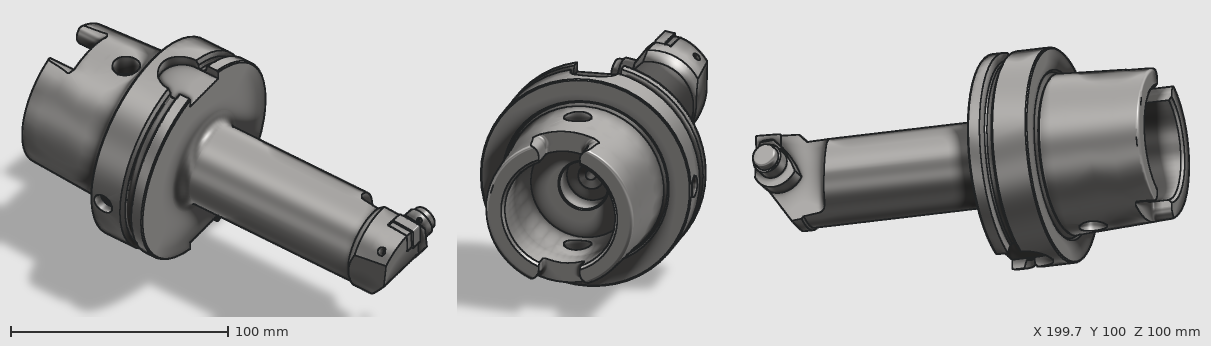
import cadquery as cq
import math


taper_length = 49.5
taper_slope = 0.05
taper_base_radius = 37.48
relief_start = -2.5
relief_rim_x = -1.8
relief_rim_radius = 37.5
relief_floor_x = -0.8
relief_floor_radius = 36.4
relief_end_radius = 38.5
face_recess_radius = 39.5
face_recess_depth = 1.0
taper_end_fillet = 1.5
mouth_chamfer = 1.4

mouth_bore_radius = 26.2
floor_bore_radius = 25.0
bore_cone_x = -29.5
bore_floor_x = -4.0
coolant_bore_radius = 12.0
coolant_bore_chamfer = 0.5
coolant_bore_floor_x = 10.0
drill_point_radius = 6.0
drill_point_angle = 118.0
coolant_channel_radius = 2.4
coolant_channel_offset = 0.5
coolant_channel_end_x = 24.0

keyway_half_width = 9.8
keyway_shoulder_height = 32.2
keyway_shoulder_slope = 23.0
keyway_shoulder_radius = 4.5
keyway_shoulder_run = 6.0
keyway_clearance = 4.0
keyway_end_fillet = 1.8
upper_keyway_length = 14.5
lower_keyway_length = 9.5

cross_hole_x = -14.8
cross_hole_radius = 6.4

flange_radius = 50.0
flange_width = 29.0
flange_chamfer = 0.5
gripper_groove_start = 16.5
gripper_groove_end = 23.0
gripper_wall_x = 18.0
gripper_wall_radius = 47.8
gripper_corner_radius = 0.8
gripper_floor_end = 20.8
gripper_floor_radius = 45.8
gripper_foot_x = 21.8
gripper_foot_radius = 46.4
notch_half_width = 11.2
notch_floor_height = 44.0
notch_round_start = 5.4
chip_hole_x = 7.2
chip_hole_radius = 5.0
chip_hole_depth = 5.0

bar_radius = 20.0
bar_fillet = 5.5
head_start = 123.7
head_cone_end = 128.1
head_cone_radius = 24.2
head_tip_x = 152.0
head_flare = 0.09
head_lower_radius = 21.0
undercut_start_x = 128.7
undercut_angle = 54.0
head_front_x = 145.83
head_front_y = -21.0
head_front_z = 14.8
head_front_slope_y = 0.1
head_front_slope_z = 0.09
outlet_x = 140.7
outlet_angle = 47.0
outlet_radius = 2.0
outlet_floor_radius = 19.0

tip_x = 150.3
tip_y = -0.1
tip_z = 27.0
rake_slope_x = 0.123
rake_slope_z = 0.12
pocket_wall_lean = 21.0
pocket_start_x = 112.0
pocket_fillet = 5.0
pocket_size = 60.0

insert_edge = 12.9
insert_angle = 80.0
lead_angle = 5.0
insert_thickness = 4.8
nose_radius = 0.8
shim_edge = 11.5
shim_thickness = 3.0
seat_gap = 0.2

screw_x = -13.8
screw_y = -19.8
clamp_height = 7.0
clamp_right = 9.2
clamp_tail_left = -11.4
clamp_tail_y = -5.2
clamp_tail_end = -11.5
clamp_bulge_x = -5.5
clamp_bulge_y = 5.2
clamp_nose_left = 4.8
clamp_nose_end = 16.4
clamp_slope_start = 7.4
clamp_slope_end = 14.0
clamp_nose_height = 3.8
clamp_lip_height = 0.5
boss_radius = 7.0
boss_height = 13.5
boss_hole_radius = 1.2
boss_hole_height = 10.0
boss_hole_angle = 64.0
boss_hole_depth = 4.0
screw_radius = 5.9
screw_top_height = 17.5
screw_fillet = 1.4

rake_plane = cq.Plane(
    origin=(tip_x, tip_y, tip_z),
    xDir=(1, -rake_slope_x, 0),
    normal=(-rake_slope_x, -1, -rake_slope_z),
)


def rake_level(height):
    """Workplane parallel to the rake plane, the given height above it."""
    return cq.Workplane(rake_plane).workplane(offset=-height)


def around_axis(profile):
    """Revolves an (x, radius) outline about the tool axis."""
    return profile.close().revolve(360, (0, 0, 0), (1, 0, 0))


def axial_cylinder(start_x, end_x, radius, y=0.0):
    return cq.Workplane("YZ", origin=(start_x, y, 0)).circle(radius).extrude(end_x - start_x)


def turned_body():
    """Taper, flange and bar, without the bores."""
    corner_end_x = gripper_wall_x + gripper_corner_radius
    outline = (
        cq.Workplane("XY")
        .moveTo(-taper_length, 0)
        .lineTo(-taper_length, taper_base_radius - taper_slope * taper_length)
        .lineTo(relief_start, taper_base_radius + taper_slope * relief_start)
        .lineTo(relief_rim_x, relief_rim_radius)
        .lineTo(relief_floor_x, relief_floor_radius)
        .lineTo(face_recess_depth, relief_end_radius)
        .lineTo(0, face_recess_radius)
        .lineTo(0, flange_radius - flange_chamfer)
        .lineTo(flange_chamfer, flange_radius)
        .lineTo(gripper_groove_start, flange_radius)
        .lineTo(gripper_wall_x, gripper_wall_radius)
        .lineTo(gripper_wall_x, gripper_floor_radius + gripper_corner_radius)
        .radiusArc((corner_end_x, gripper_floor_radius), -gripper_corner_radius)
        .lineTo(gripper_floor_end, gripper_floor_radius)
        .lineTo(gripper_foot_x, gripper_foot_radius)
        .lineTo(gripper_groove_end, flange_radius)
        .lineTo(flange_width - flange_chamfer, flange_radius)
        .lineTo(flange_width, flange_radius - flange_chamfer)
        .lineTo(flange_width, bar_radius + bar_fillet)
        .radiusArc((flange_width + bar_fillet, bar_radius), -bar_fillet)
        .lineTo(head_start, bar_radius)
        .lineTo(head_start, 0)
    )
    return around_axis(outline).faces("<X").edges().fillet(taper_end_fillet)


def inner_bores():
    """Clamping bore, coolant bore with its drill point, and the coolant channel."""
    drill_depth = drill_point_radius / math.tan(math.radians(drill_point_angle / 2))
    outline = (
        cq.Workplane("XY")
        .moveTo(-taper_length, 0)
        .lineTo(-taper_length, mouth_bore_radius + mouth_chamfer)
        .lineTo(mouth_chamfer - taper_length, mouth_bore_radius)
        .lineTo(bore_cone_x, mouth_bore_radius)
        .lineTo(bore_floor_x, floor_bore_radius)
        .lineTo(bore_floor_x, coolant_bore_radius)
        .lineTo(bore_floor_x + coolant_bore_chamfer, coolant_bore_radius - coolant_bore_chamfer)
        .lineTo(coolant_bore_floor_x, coolant_bore_radius - coolant_bore_chamfer)
        .lineTo(coolant_bore_floor_x, drill_point_radius)
        .lineTo(coolant_bore_floor_x + drill_depth, 0)
    )
    channel = axial_cylinder(
        coolant_bore_floor_x, coolant_channel_end_x, coolant_channel_radius, coolant_channel_offset
    )
    return around_axis(outline).union(channel)


def upper_keyway(length):
    """Drive keyway at the top of the taper end, with rounded shoulders."""
    slope = math.radians(keyway_shoulder_slope)
    center_y = keyway_half_width + keyway_shoulder_radius
    center_z = keyway_shoulder_height - keyway_shoulder_radius
    arc_end_y = center_y + keyway_shoulder_radius * math.sin(slope)
    arc_end_z = center_z + keyway_shoulder_radius * math.cos(slope)
    outer_y = arc_end_y + keyway_shoulder_run
    outer_shoulder_z = arc_end_z - keyway_shoulder_run * math.tan(slope)
    inner_z = floor_bore_radius - keyway_clearance
    outer_z = taper_base_radius + keyway_clearance
    return (
        cq.Workplane("YZ", origin=(-taper_length, 0, 0))
        .moveTo(-keyway_half_width, inner_z)
        .lineTo(keyway_half_width, inner_z)
        .lineTo(keyway_half_width, center_z)
        .radiusArc((arc_end_y, arc_end_z), keyway_shoulder_radius)
        .lineTo(outer_y, outer_shoulder_z)
        .lineTo(outer_y, outer_z)
        .lineTo(-outer_y, outer_z)
        .lineTo(-outer_y, outer_shoulder_z)
        .lineTo(-arc_end_y, arc_end_z)
        .radiusArc((-keyway_half_width, center_z), keyway_shoulder_radius)
        .close()
        .extrude(length)
        .faces(">X")
        .edges()
        .fillet(keyway_end_fillet)
    )


def flange_notch():
    """Drive notch at the top of the flange, with a round end."""
    straight_start = notch_round_start + notch_half_width
    return (
        cq.Workplane("XY", origin=(0, 0, notch_floor_height))
        .moveTo(flange_width, -notch_half_width)
        .lineTo(flange_width, notch_half_width)
        .lineTo(straight_start, notch_half_width)
        .threePointArc((notch_round_start, 0), (straight_start, -notch_half_width))
        .close()
        .extrude(flange_radius)
    )


def cutting_head():
    """Flared head with a flat side, a slimmer lower half, a slanting underside and a sloped front."""
    tip_radius = head_cone_radius + head_flare * (head_tip_x - head_cone_end)
    flare = around_axis(
        cq.Workplane("XY")
        .moveTo(head_start, 0)
        .lineTo(head_start, bar_radius)
        .lineTo(head_cone_end, head_cone_radius)
        .lineTo(head_tip_x, tip_radius)
        .lineTo(head_tip_x, 0)
    )
    reach = 2 * head_lower_radius
    length = head_tip_x - head_start
    upper_half = cq.Workplane("XY").box(length, head_lower_radius + reach, reach, centered=False)
    upper_half = upper_half.translate((head_start, -head_lower_radius, 0))
    envelope = axial_cylinder(head_start, head_tip_x, head_lower_radius).union(upper_half)
    head = flare.intersect(envelope)

    undercut_length = 2 * reach
    slant = math.radians(undercut_angle)
    underside = (
        cq.Workplane("XZ", origin=(undercut_start_x, 0, -head_lower_radius))
        .lineTo(undercut_length * math.cos(slant), undercut_length * math.sin(slant))
        .lineTo(undercut_length, 0)
        .close()
        .extrude(reach, both=True)
    )
    front_plane = cq.Plane(
        origin=(head_front_x, head_front_y, head_front_z),
        xDir=(head_front_slope_y, 1, 0),
        normal=(1, -head_front_slope_y, -head_front_slope_z),
    )
    front = cq.Workplane(front_plane).rect(4 * reach, 4 * reach).extrude(reach)
    return head.cut(underside).cut(front)


def chip_pocket():
    """Cut above the rake plane, with a leaning end wall and a rounded inner corner."""
    start = pocket_start_x - tip_x
    lean = pocket_size * math.tan(math.radians(pocket_wall_lean))
    section = cq.Plane(
        origin=rake_plane.toWorldCoords((start, 0, 0)),
        xDir=rake_plane.xDir,
        normal=rake_plane.yDir,
    )
    return (
        cq.Workplane(section)
        .moveTo(0, 0)
        .lineTo(pocket_size, 0)
        .lineTo(pocket_size, pocket_size)
        .lineTo(-lean, pocket_size)
        .close()
        .extrude(2 * pocket_size, both=True)
        .edges(cq.selectors.NearestToPointSelector(section.origin.toTuple()))
        .fillet(pocket_fillet)
    )


def rhombus_plate(edge, top_depth, thickness, corner=(0, 0)):
    """Rhombus with its sharp corner at or near the tip, sunk below the rake plane."""
    top_edge = math.radians(180 + lead_angle)
    front_edge = math.radians(180 + lead_angle + insert_angle)
    along = (edge * math.cos(top_edge), edge * math.sin(top_edge))
    down = (edge * math.cos(front_edge), edge * math.sin(front_edge))
    x, y = corner
    return (
        rake_level(-top_depth)
        .polyline([
            (x, y),
            (x + along[0], y + along[1]),
            (x + along[0] + down[0], y + along[1] + down[1]),
            (x + down[0], y + down[1]),
        ])
        .close()
        .extrude(thickness)
    )


def insert_seat():
    """Recess for the insert and shim, with a narrow gap behind the insert."""
    depth = insert_thickness + shim_thickness
    return rhombus_plate(insert_edge + seat_gap, 0, depth)


def coolant_outlet():
    """Blind radial hole in the flared side of the head."""
    tilt = math.radians(outlet_angle)
    outward = cq.Vector(0, -math.cos(tilt), math.sin(tilt))
    plane = cq.Plane(
        origin=(cq.Vector(outlet_x, 0, 0) + outward * outlet_floor_radius).toTuple(),
        xDir=(1, 0, 0),
        normal=outward.toTuple(),
    )
    return cq.Workplane(plane).circle(outlet_radius).extrude(head_cone_radius)


def make_holder():
    """Taper, flange, bar and head in one piece, with every seat cut into it."""
    lower_keyway = upper_keyway(lower_keyway_length).rotate((0, 0, 0), (1, 0, 0), 180)
    holder = turned_body().cut(inner_bores()).cut(upper_keyway(upper_keyway_length)).cut(lower_keyway)
    holder = holder.union(cutting_head())

    cross_hole = (
        cq.Workplane("XY", origin=(cross_hole_x, 0, 0))
        .circle(cross_hole_radius)
        .extrude(flange_radius, both=True)
    )
    notch = flange_notch()
    lower_notch = notch.rotate((0, 0, 0), (1, 0, 0), 180)
    chip_hole = (
        cq.Workplane("XZ", origin=(chip_hole_x, -flange_radius, 0))
        .circle(chip_hole_radius)
        .extrude(-chip_hole_depth)
    )
    cutters = (
        cross_hole,
        notch,
        lower_notch,
        chip_hole,
        coolant_outlet(),
        chip_pocket(),
        insert_seat(),
    )
    for cutter in cutters:
        holder = holder.cut(cutter)
    return holder


def make_insert():
    """Rhombic cutting insert with rounded corners."""
    corners = cq.selectors.ParallelDirSelector(rake_plane.zDir)
    return rhombus_plate(insert_edge, 0, insert_thickness).edges(corners).fillet(nose_radius)


def make_shim():
    """Seat plate under the insert, set back from its cutting edges."""
    setback = insert_edge - shim_edge
    return rhombus_plate(shim_edge, insert_thickness, shim_thickness, (-setback, -setback))


def make_clamp():
    """Finger clamp with a sloping nose and a round boss with a coolant hole."""
    plan = (
        rake_level(0)
        .center(screw_x, screw_y)
        .moveTo(clamp_right, clamp_nose_end)
        .lineTo(clamp_nose_left, clamp_nose_end)
        .threePointArc((clamp_bulge_x, clamp_bulge_y), (clamp_tail_left, clamp_tail_y))
        .threePointArc((0, clamp_tail_end), (clamp_right, clamp_tail_y))
        .close()
        .extrude(-clamp_height)
    )
    side_plane = cq.Plane(
        origin=rake_plane.toWorldCoords((screw_x, screw_y, 0)),
        xDir=rake_plane.yDir,
        normal=-rake_plane.xDir,
    )
    side = (
        cq.Workplane(side_plane)
        .moveTo(clamp_tail_end - 2, 0)
        .lineTo(clamp_nose_end, 0)
        .lineTo(clamp_nose_end, clamp_lip_height)
        .lineTo(clamp_slope_end, clamp_nose_height)
        .lineTo(clamp_slope_start, clamp_height)
        .lineTo(clamp_tail_end - 2, clamp_height)
        .close()
        .extrude(2 * clamp_height, both=True)
    )
    boss = rake_level(0).center(screw_x, screw_y).circle(boss_radius).extrude(-boss_height)
    turn = math.radians(boss_hole_angle)
    hole_direction = rake_plane.xDir * math.cos(turn) + rake_plane.yDir * math.sin(turn)
    hole_center = rake_plane.toWorldCoords((screw_x, screw_y, -boss_hole_height))
    hole_plane = cq.Plane(
        origin=(hole_center + hole_direction * (boss_radius - boss_hole_depth)).toTuple(),
        xDir=rake_plane.zDir,
        normal=hole_direction,
    )
    hole = cq.Workplane(hole_plane).circle(boss_hole_radius).extrude(2 * boss_hole_depth)
    return plan.intersect(side).union(boss).cut(hole)


def make_clamp_screw():
    """Screw head resting on the boss of the clamp."""
    return (
        rake_level(boss_height)
        .center(screw_x, screw_y)
        .circle(screw_radius)
        .extrude(boss_height - screw_top_height)
        .faces(">Y")
        .edges()
        .fillet(screw_fillet)
    )


holder = make_holder()
insert = make_insert()
shim = make_shim()
clamp = make_clamp()
clamp_screw = make_clamp_screw()

result = cq.Compound.makeCompound([
    holder.val(),
    insert.val(),
    shim.val(),
    clamp.val(),
    clamp_screw.val(),
])